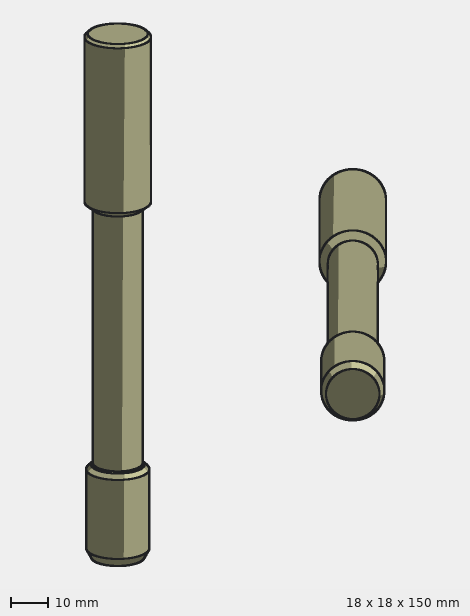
import cadquery as cq

total_length = 150.0

head_diameter = 18.0
neck_diameter = 13.5
core_diameter = 14.4
head_length = 50.0
head_top_chamfer = 0.9
head_cone_height = 1.8
neck_bottom = 27.0

sleeve_diameter = 17.1
sleeve_bottom_taper_height = 2.5

head_radius = head_diameter / 2
neck_radius = neck_diameter / 2
core_radius = core_diameter / 2
sleeve_radius = sleeve_diameter / 2
head_bottom = total_length - head_length

core_top = neck_bottom - (core_radius - neck_radius)
sleeve_shoulder = neck_bottom - (sleeve_radius - neck_radius)


def revolve_profile(points):
    """Revolve a closed (radius, height) outline around Z."""
    return cq.Workplane("XZ").polyline(points).close().revolve(360, (0, 0), (0, 1))


def make_shank():
    """Stepped pin: core at the lower end, neck, then a cone widening into the head."""
    return revolve_profile([
        (0, 0),
        (core_radius, 0),
        (core_radius, core_top),
        (neck_radius, neck_bottom),
        (neck_radius, head_bottom),
        (head_radius, head_bottom + head_cone_height),
        (head_radius, total_length - head_top_chamfer),
        (head_radius - head_top_chamfer, total_length),
        (0, total_length),
    ])


def make_sleeve():
    """Ring that fits the core along its whole length."""
    return revolve_profile([
        (core_radius, 0),
        (sleeve_radius, sleeve_bottom_taper_height),
        (sleeve_radius, sleeve_shoulder),
        (core_radius, core_top),
    ])


shank = make_shank()
sleeve = make_sleeve()

result = cq.Compound.makeCompound([shank.val(), sleeve.val()])